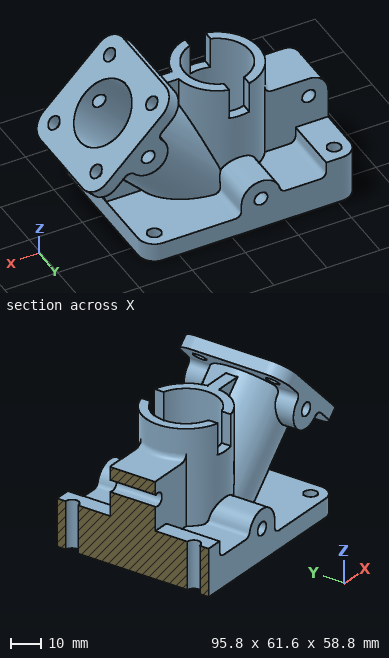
import cadquery as cq
import math


base_length = 80.0
base_width = 61.55
base_left = -36.95
base_right = base_left + base_length
base_corner_radius = 6.2
plate_top = 7.3
floor_top = 12.3
ledge_top = 18.4
ledge_right = base_left + 12.35
base_hole_inset = 6.1

hole_diameter = 5.0
lug_radius = 7.4
blend_radius = 2.4

tube_outer_radius = 16.0
tube_bore_radius = 12.35
tube_top = 49.0
shoulder_top = 37.0
slot_width = 7.6
shoulder_width = 18.4
rib_thickness = 4.7
rib_overhang = 8.9

flange_side = 44.3
flange_thickness = lug_radius - blend_radius
flange_corner_radius = 7.3
flange_hole_spacing = 29.7
flange_half_rise = flange_side / 2 * math.sin(math.radians(45))
overall_height = 58.8
flange_face_distance = (overall_height - flange_half_rise) * math.sqrt(2)
flange_back_distance = flange_face_distance - flange_thickness
flange_lug_distance = flange_face_distance - lug_radius

branch_plane = cq.Plane(origin=(0, 0, 0), xDir=(1, 0, -1), normal=(1, 0, 1))
branch_side_plane = cq.Plane(origin=(0, 0, 0), xDir=(1, 0, 1), normal=(0, -1, 0))


def side_prism(outline, width):
    """Extrude a closed side outline symmetrically about the middle plane."""
    return outline.close().extrude(width / 2, both=True)


def cross_hole(plane, x, y):
    """Cylinder that drills through the full width of the part."""
    sketch = cq.Workplane(plane).center(x, y)
    return sketch.circle(hole_diameter / 2).extrude(base_width, both=True)


def make_base():
    """Stepped base with a cross lug rounded into the floor on both sides."""
    centre_distance = lug_radius + blend_radius
    left_blend_x = -math.sqrt(centre_distance**2 - blend_radius**2)
    touch_ratio = lug_radius / centre_distance
    lug_touch = (left_blend_x * touch_ratio, floor_top + blend_radius * touch_ratio)
    outline = (
        cq.Workplane("XZ")
        .moveTo(base_left, 0)
        .lineTo(base_left, ledge_top)
        .lineTo(ledge_right, ledge_top)
        .lineTo(ledge_right, floor_top + blend_radius)
        .radiusArc((ledge_right + blend_radius, floor_top), -blend_radius)
        .lineTo(left_blend_x, floor_top)
        .radiusArc(lug_touch, -blend_radius)
        .threePointArc((0, floor_top + lug_radius), (lug_radius, floor_top))
        .lineTo(lug_radius, plate_top + blend_radius)
        .radiusArc((lug_radius + blend_radius, plate_top), -blend_radius)
        .lineTo(base_right, plate_top)
        .lineTo(base_right, 0)
    )
    footprint = (
        cq.Workplane("XY")
        .center(base_left + base_length / 2, 0)
        .rect(base_length, base_width)
        .extrude(tube_top)
        .edges("|Z")
        .fillet(base_corner_radius)
    )
    return side_prism(outline, base_width).intersect(footprint)


def make_shoulder():
    """Rounded block behind the tube, blended into the tube at its top."""
    outline = (
        cq.Workplane("XZ")
        .moveTo(base_left, 0)
        .lineTo(base_left, shoulder_top - lug_radius)
        .radiusArc((base_left + lug_radius, shoulder_top), lug_radius)
        .lineTo(0, shoulder_top)
        .lineTo(0, 0)
    )
    ring = (
        cq.Workplane("XZ")
        .moveTo(tube_bore_radius, shoulder_top)
        .lineTo(tube_outer_radius + blend_radius, shoulder_top)
        .radiusArc((tube_outer_radius, shoulder_top + blend_radius), blend_radius)
        .lineTo(tube_bore_radius, shoulder_top + blend_radius)
        .close()
        .revolve(360, (0, 0, 0), (0, 1, 0))
    )
    ring_limit = cq.Workplane("XY").box(
        -base_left, shoulder_width, tube_top, centered=(False, True, False)
    ).translate((base_left, 0, 0))
    return side_prism(outline, shoulder_width).union(ring.intersect(ring_limit))


def make_flange():
    """Square flange at the branch end, with a cross lug on its back face."""
    plate = (
        cq.Workplane(branch_plane)
        .workplane(offset=flange_back_distance)
        .rect(flange_side, flange_side)
        .extrude(flange_thickness)
        .edges(cq.selectors.ParallelDirSelector(branch_plane.zDir))
        .fillet(flange_corner_radius)
    )
    foot = lug_radius + blend_radius
    lug = (
        cq.Workplane(branch_side_plane)
        .moveTo(flange_back_distance, foot)
        .radiusArc((flange_lug_distance, lug_radius), blend_radius)
        .threePointArc((flange_lug_distance - lug_radius, 0), (flange_lug_distance, -lug_radius))
        .radiusArc((flange_back_distance, -foot), blend_radius)
    )
    return plate.union(side_prism(lug, flange_side))


def make_ribs():
    """Middle ribs from the tube and from the base up to the flange."""
    back_sum = flange_back_distance * math.sqrt(2)
    rib_end_x = base_right + rib_overhang
    upper = (
        cq.Workplane("XZ")
        .lineTo(0, tube_top)
        .lineTo(back_sum - tube_top, tube_top)
        .lineTo(back_sum / 2, back_sum / 2)
    )
    lower = (
        cq.Workplane("XZ")
        .lineTo(back_sum / 2, back_sum / 2)
        .lineTo(rib_end_x, back_sum - rib_end_x)
        .lineTo(base_right, plate_top)
        .lineTo(base_right, 0)
    )
    return side_prism(upper, rib_thickness).union(side_prism(lower, rib_thickness))


tube = cq.Workplane("XY").circle(tube_outer_radius).extrude(tube_top)
branch = cq.Workplane(branch_plane).circle(tube_outer_radius).extrude(flange_back_distance)
below_base = cq.Workplane("XY").box(
    2 * base_length, 2 * base_width, tube_top, centered=(True, True, False)
).translate((0, 0, -tube_top))
body = make_base().union(make_shoulder()).union(tube).union(branch)
body = body.union(make_ribs()).union(make_flange()).cut(below_base)

tube_bore = cq.Workplane("XY").circle(tube_bore_radius).extrude(tube_top)
branch_bore = cq.Workplane(branch_plane).circle(tube_bore_radius).extrude(flange_face_distance)
rim_slot = cq.Workplane("XY").box(
    slot_width, 2 * tube_outer_radius, tube_top - shoulder_top, centered=(True, True, False)
).translate((0, 0, shoulder_top))
body = body.cut(tube_bore).cut(branch_bore).cut(rim_slot)

body = body.cut(cross_hole(cq.Plane.XZ(), 0, floor_top))
body = body.cut(cross_hole(cq.Plane.XZ(), base_left + lug_radius, shoulder_top - lug_radius))
body = body.cut(cross_hole(branch_side_plane, flange_lug_distance, 0))

base_holes = (
    cq.Workplane("XY")
    .center(base_left + base_length / 2, 0)
    .rarray(base_length - 2 * base_hole_inset, base_width - 2 * base_hole_inset, 2, 2)
    .circle(hole_diameter / 2)
    .extrude(ledge_top)
)
flange_holes = (
    cq.Workplane(branch_plane)
    .workplane(offset=flange_back_distance)
    .rarray(flange_hole_spacing, flange_hole_spacing, 2, 2)
    .circle(hole_diameter / 2)
    .extrude(flange_thickness)
)
result = body.cut(base_holes).cut(flange_holes)